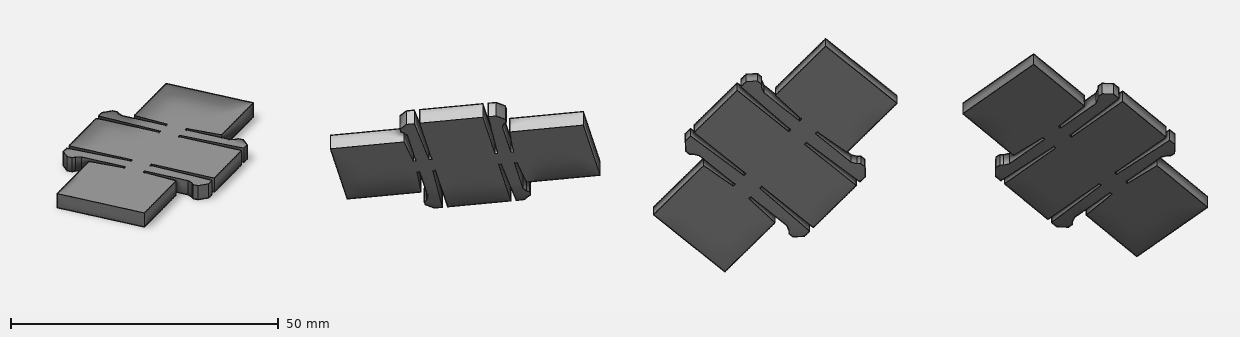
import cadquery as cq

thickness = 3.0
length_y = 48.0
arm_span = 30.0

arm_tip_x = arm_span / 2
end_block_x = 9.0
spine_x = 2.0

end_y = length_y / 2
center_block_y = 6.0
arm_top_y = 9.0
slot_end_width = 0.5
slot_taper = 0.5

inner_slot_end_y = center_block_y + slot_end_width
inner_slot_mouth_y = inner_slot_end_y + slot_taper
outer_slot_end_y = arm_top_y + slot_end_width
outer_slot_mouth_y = outer_slot_end_y + slot_taper

hook_lead = 1.5
hook_crest_length = 1.0
hook_height = 1.0
hook_top_y = arm_top_y + hook_height
hook_crest_outer_x = arm_tip_x - hook_lead
hook_crest_inner_x = hook_crest_outer_x - hook_crest_length
hook_knee_x = 12.0
hook_knee_y = arm_top_y + hook_height / 2
hook_root_x = 11.0


def quadrant():
    """Quarter of the plate lying in +X, +Y."""
    outline = [
        (0, 0),
        (arm_tip_x, 0),
        (arm_tip_x, center_block_y),
        (spine_x, center_block_y),
        (spine_x, inner_slot_end_y),
        (arm_tip_x, inner_slot_mouth_y),
        (arm_tip_x, hook_top_y - hook_lead),
        (hook_crest_outer_x, hook_top_y),
        (hook_crest_inner_x, hook_top_y),
        (hook_knee_x, hook_knee_y),
        (hook_root_x, arm_top_y),
        (spine_x, arm_top_y),
        (spine_x, outer_slot_end_y),
        (end_block_x, outer_slot_mouth_y),
        (end_block_x, end_y),
        (0, end_y),
    ]
    return cq.Workplane("XY").polyline(outline).close().extrude(thickness)


quarter = quadrant()
half = quarter.union(quarter.mirror("YZ"))
result = half.union(half.mirror("XZ")).clean()